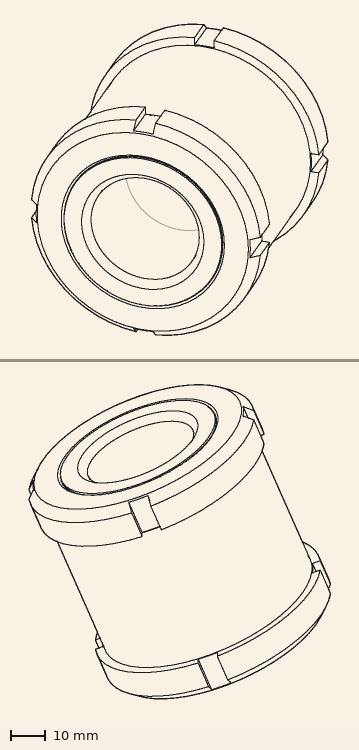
import cadquery as cq

length = 66.0
collar_diameter = 70.0
collar_width = 11.0
collar_chamfer = 2.8
body_diameter = 64.7

bore_diameter = 33.0
bore_chamfer = 2.15

sleeve_diameter = 48.1
groove_floor_diameter = 48.4
groove_mouth_diameter = 49.8
groove_depth = (groove_mouth_diameter - groove_floor_diameter) / 2

slot_count = 4
slot_width = 5.9
slot_floor_diameter = 65.3


def disc(diameter, thickness):
    """Cylinder about the Y axis, centred on the origin."""
    return cq.Workplane("XZ").circle(diameter / 2).extrude(thickness / 2, both=True)


def revolve_about_y(points):
    """Revolve a closed outline of (radius, y) points about the Y axis."""
    return cq.Workplane("XY").polyline(points).close().revolve(360, (0, 0, 0), (0, 1, 0))


def make_collar(end):
    """Chamfered collar with wrench slots at the -Y (end = -1) or +Y (end = 1) face."""
    outer_face = "<Y" if end < 0 else ">Y"
    collar = disc(collar_diameter, collar_width).faces(outer_face).edges().chamfer(collar_chamfer)
    bars = (
        cq.Workplane("XZ")
        .polarArray(collar_diameter / 2, 0, 360, slot_count)
        .rect(collar_diameter / 2, slot_width)
        .extrude(collar_width, both=True)
    )
    slots = bars.cut(disc(slot_floor_diameter, 2 * collar_width))
    return collar.cut(slots).translate((0, end * (length - collar_width) / 2, 0))


def make_face_groove(end):
    """Ring groove with a sloped outer wall, cut into one end face."""
    face_y = end * length / 2
    floor_y = face_y - end * groove_depth
    return revolve_about_y([
        (sleeve_diameter / 2, face_y),
        (groove_mouth_diameter / 2, face_y),
        (groove_floor_diameter / 2, floor_y),
        (sleeve_diameter / 2, floor_y),
    ])


result = disc(body_diameter, length - 2 * collar_width)
for end in (-1, 1):
    result = result.union(make_collar(end))

bore = disc(bore_diameter, length)
result = result.cut(bore).edges(cq.selectors.RadiusNthSelector(0)).chamfer(bore_chamfer)

for end in (-1, 1):
    result = result.cut(make_face_groove(end))